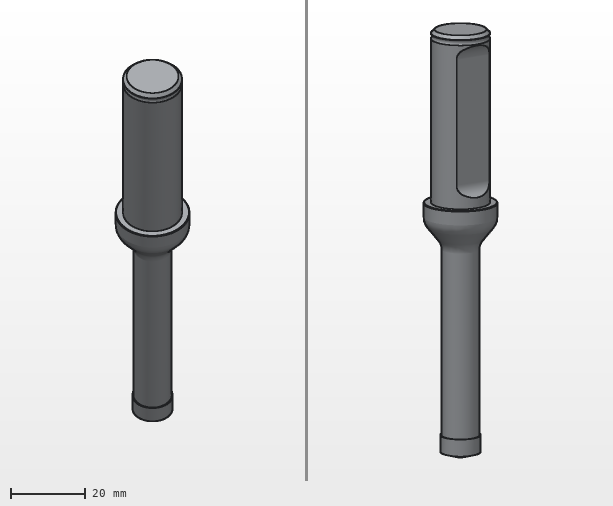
import cadquery as cq
import math

total_length = 119.0
shank_length = 48.0
flange_top = total_length - shank_length
flange_bottom = 67.0
stem_top = 58.0
head_top = 6.4

shank_diameter = 15.99
flange_diameter = 20.0
stem_diameter = 10.3
head_diameter = 10.9

shank_radius = shank_diameter / 2
flange_radius = flange_diameter / 2
stem_radius = stem_diameter / 2
head_radius = head_diameter / 2

shank_chamfer = 1.0
flange_chamfer = 0.2
point_angle = 145.0

groove_radius = 1.1
groove_width = 1.4
groove_end_distance = 1.85
groove_center_height = total_length - groove_end_distance

neck_radius = 4.0
shoulder_radius = 4.5

notch_flat_y = 6.0
notch_end_margin = 2.9
notch_corner_radius = 4.0


def revolve_profile(profile):
    """Turn a closed X-Z half profile about the Z axis."""
    return profile.close().revolve(360, (0, 0, 0), (0, 1, 0))


def make_turned_body():
    """Stem, conical collar and shank, turned as one piece."""
    neck_center_x = stem_radius + neck_radius
    shoulder_center_x = flange_radius - shoulder_radius

    center_run = neck_center_x - shoulder_center_x
    center_rise = flange_bottom - stem_top
    center_distance = math.hypot(center_run, center_rise)
    center_lean = math.atan2(center_run, center_rise)
    cone_angle = math.asin((neck_radius + shoulder_radius) / center_distance) - center_lean

    def neck_point(angle):
        return (
            neck_center_x - neck_radius * math.cos(angle),
            stem_top + neck_radius * math.sin(angle),
        )

    def shoulder_point(angle):
        return (
            shoulder_center_x + shoulder_radius * math.cos(angle),
            flange_bottom - shoulder_radius * math.sin(angle),
        )

    profile = (
        cq.Workplane("XZ")
        .moveTo(0, head_top)
        .lineTo(stem_radius, head_top)
        .lineTo(stem_radius, stem_top)
        .threePointArc(neck_point(cone_angle / 2), neck_point(cone_angle))
        .lineTo(*shoulder_point(cone_angle))
        .threePointArc(shoulder_point(cone_angle / 2), (flange_radius, flange_bottom))
        .lineTo(flange_radius, flange_top - flange_chamfer)
        .lineTo(flange_radius - flange_chamfer, flange_top)
        .lineTo(shank_radius, flange_top)
        .lineTo(shank_radius, total_length - shank_chamfer)
        .lineTo(shank_radius - shank_chamfer, total_length)
        .lineTo(0, total_length)
    )
    return revolve_profile(profile)


def make_groove_ring():
    """Ring of round section that cuts the shallow groove into the shank."""
    center_offset = math.sqrt(groove_radius**2 - (groove_width / 2) ** 2)
    return (
        cq.Workplane("XZ")
        .moveTo(shank_radius + center_offset, groove_center_height)
        .circle(groove_radius)
        .revolve(360, (0, 0, 0), (0, 1, 0))
    )


def make_notch_cutter():
    """Flat-bottomed notch with 45 degree ends blended into the flat."""
    notch_bottom = flange_top + notch_end_margin
    notch_top = total_length - notch_end_margin
    ramp = shank_radius - notch_flat_y
    return (
        cq.Workplane("YZ")
        .moveTo(shank_radius, notch_bottom)
        .lineTo(notch_flat_y, notch_bottom + ramp)
        .lineTo(notch_flat_y, notch_top - ramp)
        .lineTo(shank_radius, notch_top)
        .close()
        .extrude(shank_radius, both=True)
        .edges("|X and <Y")
        .fillet(notch_corner_radius)
    )


def make_holder():
    """Turned body with the groove and the clamping notch cut into its shank."""
    return make_turned_body().cut(make_groove_ring()).cut(make_notch_cutter())


def make_drill_head():
    """Cylindrical head with a conical point, seated on the lower end of the stem."""
    point_height = head_radius / math.tan(math.radians(point_angle / 2))
    profile = (
        cq.Workplane("XZ")
        .lineTo(head_radius, point_height)
        .lineTo(head_radius, head_top)
        .lineTo(0, head_top)
    )
    return revolve_profile(profile)


holder = make_holder()
drill_head = make_drill_head()

result = cq.Compound.makeCompound([holder.val(), drill_head.val()])